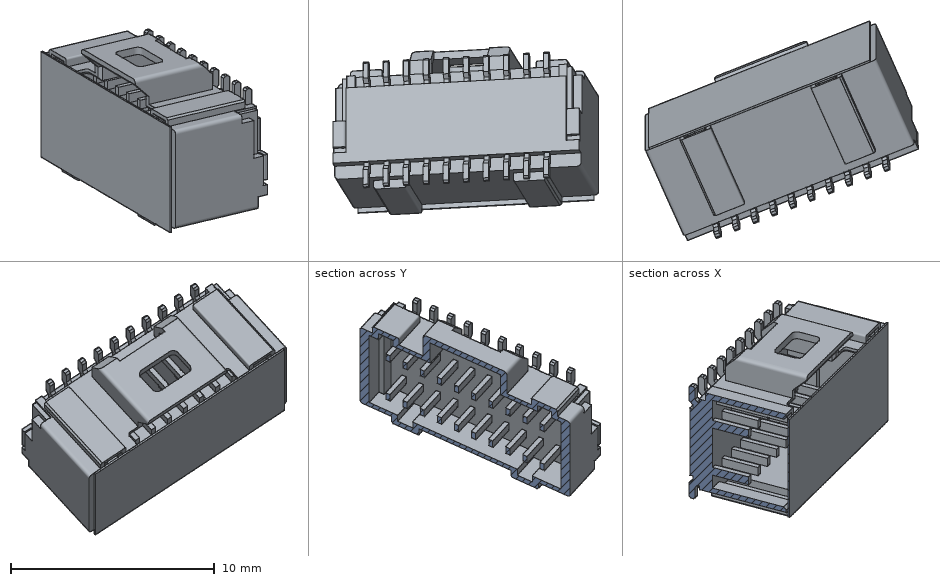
import cadquery as cq


HALF_LENGTH = 6.15
HALF_HEIGHT = 2.6
CORNER_RADIUS = 0.2
REAR_Y = 4.82

PLATFORM_Y = 5.35
PLATFORM_HALF_HEIGHT = 1.92
SHOULDER_Y = 5.12
SHOULDER_INNER_X = 5.09
FOOT_POCKET_BOTTOM_Z = -1.39

CAVITY_HALF_LENGTH = 5.58
CAVITY_HALF_HEIGHT = 2.29
CAVITY_DEPTH = 4.08
CORNER_BLOCK_X = 5.28
CORNER_BLOCK_Y = 3.47
MOUTH_CHAMFER = 0.15

RIB_HEIGHT = 0.44
RIB_EDGE = 0.1
RIB_SIDE_WALL = 0.38
RIB_OUTER_WALL = 0.35
TOP_RIB_CENTER_X = 4.64
TOP_RIB_WIDTH = 1.57
TOP_RIB_LENGTH = 4.5
BOTTOM_RIB_CENTER_X = 3.49
BOTTOM_RIB_WIDTH = 1.62
BOTTOM_RIB_LENGTH = 4.3

BRIDGE_HALF_WIDTH = 2.46
BRIDGE_TOP_Z = 4.06
BRIDGE_LENGTH = TOP_RIB_LENGTH
BRIDGE_RADIUS = 0.21
BRIDGE_REAR_CHAMFER = 0.65
BRIDGE_LIP = 0.26
BRIDGE_WALL_Y = 0.8
BRIDGE_CEILING_Z = 3.67
BRIDGE_INNER_X = 2.04
BRIDGE_INNER_CHAMFER = 0.35
TOP_NOTCH_HALF_WIDTH = 3.14
TOP_NOTCH_RADIUS = 0.17
REAR_NOTCH_HALF_WIDTH = 1.4
REAR_NOTCH_Y = 3.63
WINDOW_WIDTH = 2.31
WINDOW_LENGTH = 1.51
WINDOW_FRONT_Y = 1.05
WINDOW_RADIUS = 0.3

NAIL_OUTER_X = 5.73
NAIL_INNER_X = 5.5
NAIL_TOP_Z = 2.48
NAIL_SLOT_FRONT_Y = 3.87
NAIL_BACK_Y = 5.04
RECESS_LEDGE_Z = 2.18
RECESS_STEP_Y = 4.55
RECESS_BOTTOM_Z = 0.18
FOOT_TOP_Z = 0.22
FOOT_BOTTOM_Z = -1.11
FOOT_FRONT_Y = 5.17
FOOT_BACK_Y = 5.38
FOOT_BEND_RADIUS = 0.16
FOOT_TIP_RADIUS = 0.05

PIN_COUNT = 10
PIN_ROW_SPAN = 9.0
PIN_PITCH = PIN_ROW_SPAN / (PIN_COUNT - 1)
PIN_WIDTH = 0.26
CONTACT_TIP_Y = 2.09
CONTACT_INNER_Z = 1.11
CONTACT_OUTER_Z = 1.57
LEG_FRONT_Y = 5.04
LEG_BACK_Y = 5.4
LEG_NECK_Y = 5.19
LEG_TIP_Z = 3.21
LEG_TIP_CHAMFER = 0.1
LEG_OUTER_BEND_Z = 2.35
LEG_INNER_BEND_Z = 2.51
LEG_INNER_BEND = 0.12

FILM_HALF_LENGTH = 5.89
FILM_TOP_Z = 2.77
FILM_BOTTOM_Z = -2.82
FILM_GAP = 0.07
FILM_THICKNESS = 0.1


def block(x_limits, y_limits, z_limits):
    """Rectangular block between the given limits."""
    sizes = [high - low for low, high in (x_limits, y_limits, z_limits)]
    corner = (x_limits[0], y_limits[0], z_limits[0])
    return cq.Workplane("XY").box(*sizes, centered=False).translate(corner)


def side_profile(points, half_width):
    """Prism with a (y, z) outline, centred on x = 0."""
    return cq.Workplane("YZ").polyline(points).close().extrude(half_width, both=True)


def both_ends(shape):
    """The shape together with its mirror image at the other end of the part."""
    return shape.union(shape.mirror("YZ"))


def rib(center_x, width, length, side):
    """Rib on the top (side = 1) or the bottom (side = -1) of the housing."""
    height = HALF_HEIGHT + RIB_HEIGHT
    x_limits = (center_x - width / 2, center_x + width / 2)
    bar = block(x_limits, (0, length), (0, height))
    bar = bar.edges("|Y and >Z and >X").chamfer(RIB_EDGE)
    bar = bar.edges("|Y and >Z and <X").fillet(RIB_EDGE)
    bar = bar.cut(block(x_limits, (0, length), (0, CAVITY_HALF_HEIGHT)))
    return bar if side > 0 else bar.mirror("XY")


def flared_pocket(center_x, width, z_limits, depth):
    """Rectangular pocket from the mating face with a chamfered mouth, as a cutter."""
    height = z_limits[1] - z_limits[0]
    center = (center_x, 0, (z_limits[0] + z_limits[1]) / 2)
    face = cq.Workplane("XZ", origin=center)
    pocket = face.rect(width, height).extrude(-depth)
    mouth = face.rect(width + 2 * MOUTH_CHAMFER, height + 2 * MOUTH_CHAMFER)
    flare = mouth.extrude(-MOUTH_CHAMFER, taper=45)
    return pocket.union(flare)


def rib_pocket(center_x, width, side):
    """Hollow of one rib, open to the main cavity."""
    ceiling = HALF_HEIGHT + RIB_HEIGHT - RIB_OUTER_WALL
    z_limits = (0, ceiling) if side > 0 else (-ceiling, 0)
    return flared_pocket(center_x, width - 2 * RIB_SIDE_WALL, z_limits, CAVITY_DEPTH)


def cavity():
    """Mating cavity with corner blocks left standing at its rear."""
    height_limits = (-CAVITY_HALF_HEIGHT, CAVITY_HALF_HEIGHT)
    room = flared_pocket(0, 2 * CAVITY_HALF_LENGTH, height_limits, CAVITY_DEPTH)
    corner_block = block((CORNER_BLOCK_X, CAVITY_HALF_LENGTH), (CORNER_BLOCK_Y, CAVITY_DEPTH), height_limits)
    return room.cut(both_ends(corner_block))


def outer_block():
    """Housing block with its stepped rear."""
    x_limits = (-HALF_LENGTH, HALF_LENGTH)
    z_limits = (-HALF_HEIGHT, HALF_HEIGHT)
    body = block(x_limits, (0, REAR_Y), z_limits).edges("|Y").fillet(CORNER_RADIUS)
    platform_z = (-PLATFORM_HALF_HEIGHT, PLATFORM_HALF_HEIGHT)
    body = body.union(block((-NAIL_INNER_X, NAIL_INNER_X), (REAR_Y, PLATFORM_Y), platform_z))
    shoulder = block((SHOULDER_INNER_X, NAIL_INNER_X), (REAR_Y, SHOULDER_Y), (0, HALF_HEIGHT))
    end_wall = block(
        (NAIL_INNER_X, HALF_LENGTH), (REAR_Y, SHOULDER_Y), (-PLATFORM_HALF_HEIGHT, RECESS_BOTTOM_Z)
    )
    foot_stop = block(
        (NAIL_INNER_X, HALF_LENGTH), (REAR_Y, PLATFORM_Y), (-PLATFORM_HALF_HEIGHT, FOOT_POCKET_BOTTOM_Z)
    )
    return body.union(both_ends(shoulder.union(end_wall).union(foot_stop)))


def nail_recess():
    """L-shaped recess in one end wall that bares the nail, with the slot above the nail."""
    ledge = block((NAIL_OUTER_X, HALF_LENGTH), (NAIL_SLOT_FRONT_Y, PLATFORM_Y), (RECESS_LEDGE_Z, HALF_HEIGHT))
    side = block((NAIL_OUTER_X, HALF_LENGTH), (RECESS_STEP_Y, PLATFORM_Y), (RECESS_BOTTOM_Z, HALF_HEIGHT))
    slot = block((NAIL_INNER_X, NAIL_OUTER_X), (NAIL_SLOT_FRONT_Y, PLATFORM_Y), (NAIL_TOP_Z, HALF_HEIGHT))
    return ledge.union(side).union(slot)


def nail():
    """Rear edge of one nail with its solder foot bent outwards."""
    z_limits = (FOOT_BOTTOM_Z, FOOT_TOP_Z)
    foot = block((NAIL_INNER_X, HALF_LENGTH), (FOOT_FRONT_Y, FOOT_BACK_Y), z_limits)
    foot = foot.edges("|Z and >X").fillet(FOOT_TIP_RADIUS)
    foot = foot.edges("|Z and <X and >Y").fillet(FOOT_BEND_RADIUS)
    leg = block((NAIL_INNER_X, NAIL_OUTER_X), (REAR_Y, FOOT_FRONT_Y), z_limits)
    edge = block((NAIL_INNER_X, NAIL_OUTER_X), (REAR_Y, NAIL_BACK_Y), (FOOT_TOP_Z, NAIL_TOP_Z))
    return foot.union(leg).union(edge)


def bridge():
    """Latch bridge: a roof on two side walls and a rear wall, open towards the mating face."""
    lip_z = BRIDGE_TOP_Z - BRIDGE_LIP
    outline = [
        (BRIDGE_WALL_Y, HALF_HEIGHT),
        (BRIDGE_WALL_Y, lip_z - BRIDGE_WALL_Y),
        (0, lip_z),
        (0, BRIDGE_TOP_Z),
        (BRIDGE_LENGTH - BRIDGE_REAR_CHAMFER, BRIDGE_TOP_Z),
        (BRIDGE_LENGTH, BRIDGE_TOP_Z - BRIDGE_REAR_CHAMFER),
        (BRIDGE_LENGTH, HALF_HEIGHT),
    ]
    shell = side_profile(outline, BRIDGE_HALF_WIDTH).edges("|Y and >Z").fillet(BRIDGE_RADIUS)

    inside_outline = [
        (0, HALF_HEIGHT),
        (0, BRIDGE_CEILING_Z),
        (CAVITY_DEPTH - BRIDGE_INNER_CHAMFER, BRIDGE_CEILING_Z),
        (CAVITY_DEPTH, BRIDGE_CEILING_Z - BRIDGE_INNER_CHAMFER),
        (CAVITY_DEPTH, HALF_HEIGHT),
    ]
    shell = shell.cut(side_profile(inside_outline, BRIDGE_INNER_X))

    window = (
        block(
            (-WINDOW_WIDTH / 2, WINDOW_WIDTH / 2),
            (WINDOW_FRONT_Y, WINDOW_FRONT_Y + WINDOW_LENGTH),
            (HALF_HEIGHT, BRIDGE_TOP_Z),
        )
        .edges("|Z")
        .fillet(WINDOW_RADIUS)
    )
    rear_notch = block(
        (-REAR_NOTCH_HALF_WIDTH, REAR_NOTCH_HALF_WIDTH),
        (REAR_NOTCH_Y, BRIDGE_LENGTH),
        (HALF_HEIGHT, BRIDGE_TOP_Z),
    )
    return shell.cut(window).cut(rear_notch)


def chamfer_bridge_walls(body):
    """Chamfer the inner front edges of both bridge walls, down through the housing's top wall."""
    reach = 0.01
    for x in (-BRIDGE_INNER_X, BRIDGE_INNER_X):
        near = cq.selectors.BoxSelector(
            (x - reach, BRIDGE_WALL_Y - (BRIDGE_CEILING_Z - HALF_HEIGHT), HALF_HEIGHT),
            (x + reach, BRIDGE_WALL_Y + reach, BRIDGE_CEILING_Z - reach),
        )
        body = body.edges(near).chamfer(MOUTH_CHAMFER)
    return body


def top_opening():
    """Opening in the housing's top wall: under the bridge, and wider at the mating face."""
    under_bridge = block((-BRIDGE_INNER_X, BRIDGE_INNER_X), (0, CAVITY_DEPTH), (0, HALF_HEIGHT))
    notch = block((-TOP_NOTCH_HALF_WIDTH, TOP_NOTCH_HALF_WIDTH), (0, BRIDGE_WALL_Y), (0, HALF_HEIGHT))
    notch = notch.edges("|Z and >Y").fillet(TOP_NOTCH_RADIUS)
    return under_bridge.union(notch)


def notch_lead_in():
    """Chamfer under the rear and end edges of the top notch, as a cutter."""
    half_width = TOP_NOTCH_HALF_WIDTH + MOUTH_CHAMFER
    y_limits = (-2 * MOUTH_CHAMFER, BRIDGE_WALL_Y + MOUTH_CHAMFER)
    z_limits = (0, CAVITY_HALF_HEIGHT + MOUTH_CHAMFER)
    cutter = block((-half_width, half_width), y_limits, z_limits)
    cutter = cutter.edges("|Z and >Y").fillet(TOP_NOTCH_RADIUS + MOUTH_CHAMFER)
    return cutter.faces(">Z").chamfer(MOUTH_CHAMFER)


def contact_blade():
    """Blade of a top-row pin, standing in the cavity."""
    x_limits = (-PIN_WIDTH / 2, PIN_WIDTH / 2)
    return block(x_limits, (CONTACT_TIP_Y, REAR_Y), (CONTACT_INNER_Z, CONTACT_OUTER_Z))


def solder_leg():
    """Leg of a top-row pin, leaving the rear wall and bent upwards."""
    neck_z = LEG_OUTER_BEND_Z - (LEG_BACK_Y - LEG_NECK_Y)
    shelf_z = LEG_INNER_BEND_Z - LEG_INNER_BEND
    outline = [
        (REAR_Y, PLATFORM_HALF_HEIGHT),
        (LEG_NECK_Y, PLATFORM_HALF_HEIGHT),
        (LEG_NECK_Y, neck_z),
        (LEG_BACK_Y, LEG_OUTER_BEND_Z),
        (LEG_BACK_Y, LEG_TIP_Z - LEG_TIP_CHAMFER),
        (LEG_BACK_Y - LEG_TIP_CHAMFER, LEG_TIP_Z),
        (LEG_FRONT_Y + LEG_TIP_CHAMFER, LEG_TIP_Z),
        (LEG_FRONT_Y, LEG_TIP_Z - LEG_TIP_CHAMFER),
        (LEG_FRONT_Y, LEG_INNER_BEND_Z),
        (LEG_FRONT_Y - LEG_INNER_BEND, shelf_z),
        (REAR_Y, shelf_z),
    ]
    return side_profile(outline, PIN_WIDTH / 2)


def connector():
    """Housing with its pins and nails."""
    body = outer_block()
    for side, center_x, width, length in (
        (1, TOP_RIB_CENTER_X, TOP_RIB_WIDTH, TOP_RIB_LENGTH),
        (-1, BOTTOM_RIB_CENTER_X, BOTTOM_RIB_WIDTH, BOTTOM_RIB_LENGTH),
    ):
        body = body.union(both_ends(rib(center_x, width, length, side)))
        body = body.cut(both_ends(rib_pocket(center_x, width, side)))
    body = body.cut(cavity()).cut(top_opening())
    body = chamfer_bridge_walls(body.union(bridge())).cut(notch_lead_in())
    body = body.cut(both_ends(nail_recess())).union(both_ends(nail()))
    for i in range(PIN_COUNT):
        x = i * PIN_PITCH - PIN_ROW_SPAN / 2
        for half_pin in (contact_blade(), solder_leg()):
            placed = half_pin.translate((x, 0, 0))
            body = body.union(placed).union(placed.mirror("XY"))
    return body


def cover_film():
    """Thin sheet standing clear of the mating face."""
    return block(
        (-FILM_HALF_LENGTH, FILM_HALF_LENGTH),
        (-FILM_GAP - FILM_THICKNESS, -FILM_GAP),
        (FILM_BOTTOM_Z, FILM_TOP_Z),
    )


result = cq.Compound.makeCompound([connector().val(), cover_film().val()])